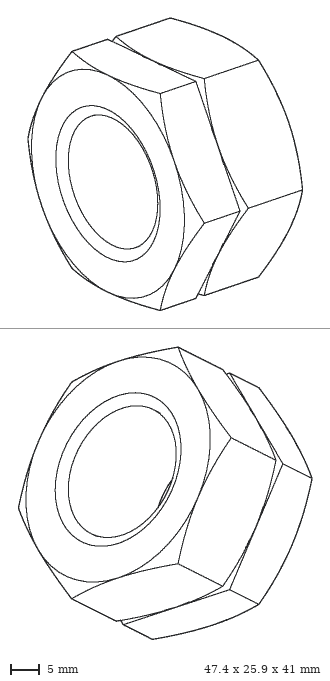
import cadquery as cq
import math

across_corners = 47.35
total_length = 25.9
full_nut_height = 15.95
nut_gap = 0.05
bore_diameter = 24.0
countersink_diameter = 28.0
chamfer_angle = 30.0
cutter_margin = 2.35

across_flats = across_corners * math.cos(math.radians(30))
chamfer_slope = math.tan(math.radians(chamfer_angle))
countersink_depth = (countersink_diameter - bore_diameter) / 2 * chamfer_slope
spigot_length = total_length - full_nut_height
spigot_diameter = countersink_diameter
jam_nut_height = spigot_length - nut_gap
front_y = -spigot_length
back_y = full_nut_height


def hex_prism(start_y, height):
    """Hexagonal prism from start_y towards +Y, with two corners on the X axis."""
    return cq.Workplane("XZ", origin=(0, start_y, 0)).polygon(6, across_corners).extrude(-height)


def cylinder(start_y, height, diameter):
    """Cylinder on the Y axis, from start_y towards +Y."""
    return cq.Workplane("XZ", origin=(0, start_y, 0)).circle(diameter / 2).extrude(-height)


def revolve_about_y(profile):
    """Revolve a closed (radius, y) profile a full turn about the Y axis."""
    return cq.Workplane("XY").polyline(profile).close().revolve(360, (0, 0), (0, 1))


def corner_chamfer(face_y, inward):
    """Ring that bevels the hexagon corners at an end face; inward is the Y sign into the nut."""
    inner_radius = across_flats / 2
    outer_radius = across_corners / 2 + cutter_margin
    outer_y = face_y + inward * (outer_radius - inner_radius) * chamfer_slope
    return revolve_about_y([(inner_radius, face_y), (outer_radius, face_y), (outer_radius, outer_y)])


def countersink(face_y, inward):
    """Conical bore entry at an end face; inward is the Y sign into the nut."""
    bottom_y = face_y + inward * countersink_depth
    return revolve_about_y([
        (0, face_y),
        (countersink_diameter / 2, face_y),
        (bore_diameter / 2, bottom_y),
        (0, bottom_y),
    ])


def make_full_nut():
    """Nut bevelled at both ends, with a spigot in front that carries the bore through the jam nut."""
    hexagon = (
        hex_prism(0, full_nut_height)
        .cut(corner_chamfer(0, 1))
        .cut(corner_chamfer(back_y, -1))
    )
    return (
        hexagon
        .union(cylinder(front_y, spigot_length, spigot_diameter))
        .cut(cylinder(front_y, total_length, bore_diameter))
        .cut(countersink(front_y, 1))
        .cut(countersink(back_y, -1))
    )


def make_jam_nut():
    """Thin nut on the spigot, bevelled at its front face only."""
    return (
        hex_prism(front_y, jam_nut_height)
        .cut(corner_chamfer(front_y, 1))
        .cut(cylinder(front_y, jam_nut_height, spigot_diameter))
    )


full_nut = make_full_nut()
jam_nut = make_jam_nut()

result = cq.Compound.makeCompound([full_nut.val(), jam_nut.val()])